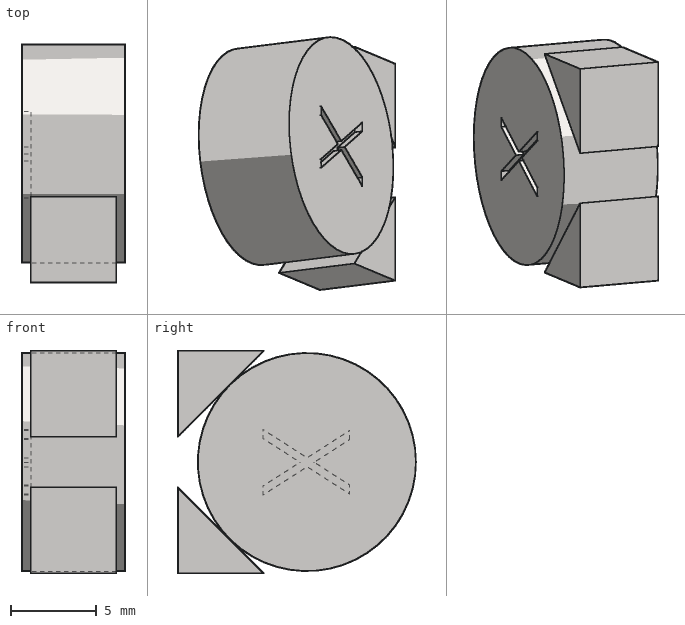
import cadquery as cq
import math

overall_length = 13.85
disc_diameter = 12.7
disc_thickness = 6.0
wedge_leg = 5.0

groove_depth = 0.5
groove_slope = 0.64
groove_height = 0.53
groove_back_end = 2.47
groove_front_end = 2.56

disc_radius = disc_diameter / 2
wedge_front = -(overall_length - disc_radius)
wedge_top = disc_radius * math.sqrt(2) + wedge_leg + wedge_front


def groove_cutter(slope):
    """One straight bar of the cross groove, with upright ends, sunk in from the -X face."""
    half_height = groove_height / 2
    back_z = slope * groove_back_end
    front_z = -slope * groove_front_end
    return (
        cq.Workplane("YZ", origin=(-disc_thickness / 2, 0, 0))
        .moveTo(groove_back_end, back_z - half_height)
        .lineTo(groove_back_end, back_z + half_height)
        .lineTo(-groove_front_end, front_z + half_height)
        .lineTo(-groove_front_end, front_z - half_height)
        .close()
        .extrude(groove_depth)
    )


def make_disc():
    """Round disc with a crossed groove in its -X face."""
    blank = cq.Workplane("YZ", origin=(-disc_thickness / 2, 0, 0)).circle(disc_radius).extrude(disc_thickness)
    cross = groove_cutter(groove_slope).union(groove_cutter(-groove_slope), clean=True)
    return blank.cut(cross)


def make_wedge(side):
    """Triangular wedge above (side = 1) or below (side = -1) the disc axis."""
    return (
        cq.Workplane("YZ")
        .moveTo(wedge_front, side * wedge_top)
        .lineTo(wedge_front + wedge_leg, side * wedge_top)
        .lineTo(wedge_front, side * (wedge_top - wedge_leg))
        .close()
        .extrude(wedge_leg / 2, both=True)
    )


disc = make_disc()
wedges = [make_wedge(side) for side in (1, -1)]

result = cq.Compound.makeCompound([disc.val(), *[wedge.val() for wedge in wedges]])